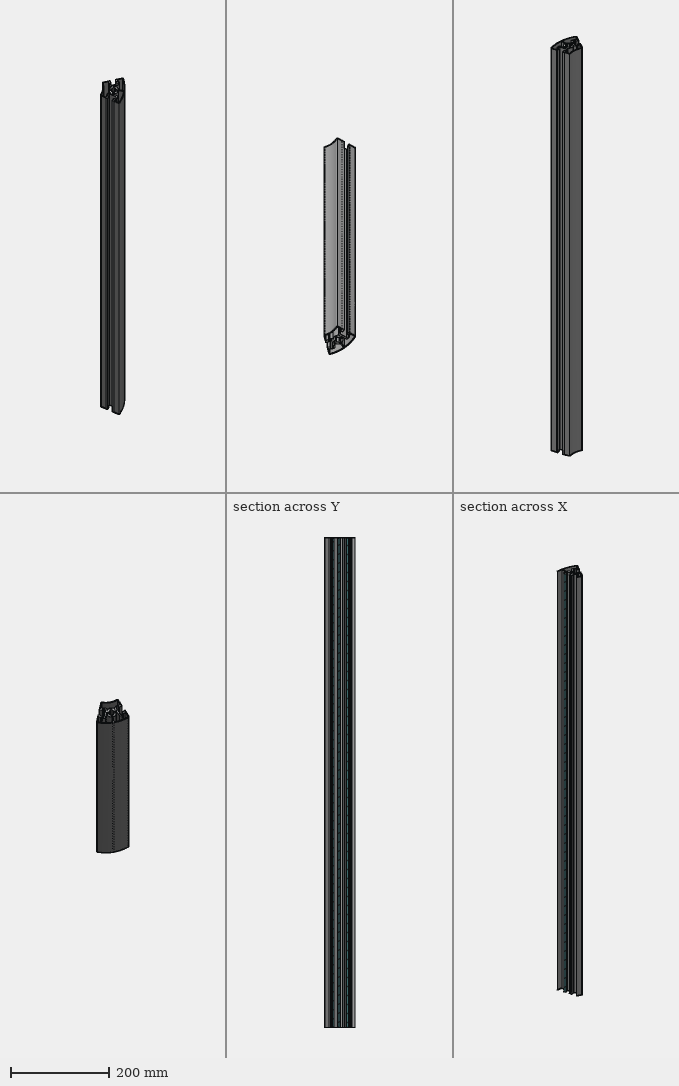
import cadquery as cq
import math


LENGTH = 1000.0
FACE_WIDTH = 45.0
INNER_RADIUS = 45.0
SECTOR_ANGLE = 45.0
CORNER_RADIUS = 3.0
WALL = 2.0

SLOT_OPENING = 11.0
LIP_DEPTH = 6.5
CAVITY_DEPTH = 6.0
CAVITY_WIDTH = 20.0
FLOOR_CHAMFER = 2.5

CAVITY_WALL = 1.5
FLOOR_WALL = 3.5
LIP_ROOT_WIDTH = 18.0
FLARE_DEPTH = 8.5
BACK_TAPER_DEPTH = 11.0
SURROUND_BACK_WIDTH = 20.0

HUB_RADIUS = 10.0
BORE_RADIUS = 5.0
LOBE_COUNT = 4
LOBE_RADIUS = 2.0
LOBE_OFFSET = 6.0
RIB_WIDTH = 2.5

SLOT_DEPTH = LIP_DEPTH + CAVITY_DEPTH
OUTER_RADIUS = INNER_RADIUS + FACE_WIDTH
MID_RADIUS = INNER_RADIUS + FACE_WIDTH / 2
HALF_ANGLE = SECTOR_ANGLE / 2


def sector_point(radius, clockwise_from_y):
    angle = math.radians(clockwise_from_y)
    return (radius * math.sin(angle), radius * math.cos(angle))


def sector(inner_radius, outer_radius, end_inset):
    """Ring sector whose flat ends are moved inwards by end_inset."""
    def end_angle(radius):
        return math.degrees(math.asin(end_inset / radius))

    start_inner = end_angle(inner_radius)
    start_outer = end_angle(outer_radius)
    return (
        cq.Workplane("XY")
        .moveTo(*sector_point(inner_radius, start_inner))
        .lineTo(*sector_point(outer_radius, start_outer))
        .threePointArc(
            sector_point(outer_radius, HALF_ANGLE),
            sector_point(outer_radius, SECTOR_ANGLE - start_outer),
        )
        .lineTo(*sector_point(inner_radius, SECTOR_ANGLE - start_inner))
        .threePointArc(
            sector_point(inner_radius, HALF_ANGLE),
            sector_point(inner_radius, start_inner),
        )
        .close()
        .extrude(LENGTH)
    )


def on_both_ends(body):
    """Join a body made at the X = 0 end with its mirror image at the other end."""
    other = body.mirror("YZ").rotate((0, 0, 0), (0, 0, 1), -SECTOR_ANGLE)
    return body.union(other)


def end_prism(stations):
    """Prism symmetric about the slot centre, given (depth, width) pairs from the X = 0 face."""
    upper = [(depth, MID_RADIUS + width / 2) for depth, width in stations]
    lower = [(depth, MID_RADIUS - width / 2) for depth, width in reversed(stations)]
    return cq.Workplane("XY").polyline(upper + lower).close().extrude(LENGTH)


def round_bar(centre, radius):
    return cq.Workplane("XY").center(*centre).circle(radius).extrude(LENGTH)


shell = sector(INNER_RADIUS, OUTER_RADIUS, 0).edges("|Z").fillet(CORNER_RADIUS)
shell = shell.cut(sector(INNER_RADIUS + WALL, OUTER_RADIUS - WALL, WALL))

surround_width = CAVITY_WIDTH + 2 * CAVITY_WALL
slot_surround = end_prism([
    (WALL / 2, LIP_ROOT_WIDTH),
    (FLARE_DEPTH, surround_width),
    (BACK_TAPER_DEPTH, surround_width),
    (SLOT_DEPTH + FLOOR_WALL, SURROUND_BACK_WIDTH),
])

t_slot = end_prism([
    (0, SLOT_OPENING),
    (LIP_DEPTH, SLOT_OPENING),
    (LIP_DEPTH, CAVITY_WIDTH),
    (SLOT_DEPTH - FLOOR_CHAMFER, CAVITY_WIDTH),
    (SLOT_DEPTH, CAVITY_WIDTH - 2 * FLOOR_CHAMFER),
])

hub_centre = sector_point(MID_RADIUS, HALF_ANGLE)
hub = round_bar(hub_centre, HUB_RADIUS)
rib_end = OUTER_RADIUS - WALL / 2
rib = (
    cq.Workplane("XY")
    .center(0, (MID_RADIUS + rib_end) / 2)
    .rect(RIB_WIDTH, rib_end - MID_RADIUS)
    .extrude(LENGTH)
    .rotate((0, 0, 0), (0, 0, 1), -HALF_ANGLE)
)

bore = round_bar(hub_centre, BORE_RADIUS)
for lobe in range(LOBE_COUNT):
    offset_x, offset_y = sector_point(LOBE_OFFSET, HALF_ANGLE + lobe * 360 / LOBE_COUNT)
    lobe_centre = (hub_centre[0] + offset_x, hub_centre[1] + offset_y)
    bore = bore.union(round_bar(lobe_centre, LOBE_RADIUS))

result = (
    shell.union(on_both_ends(slot_surround))
    .union(hub)
    .union(rib)
    .cut(on_both_ends(t_slot))
    .cut(bore)
)